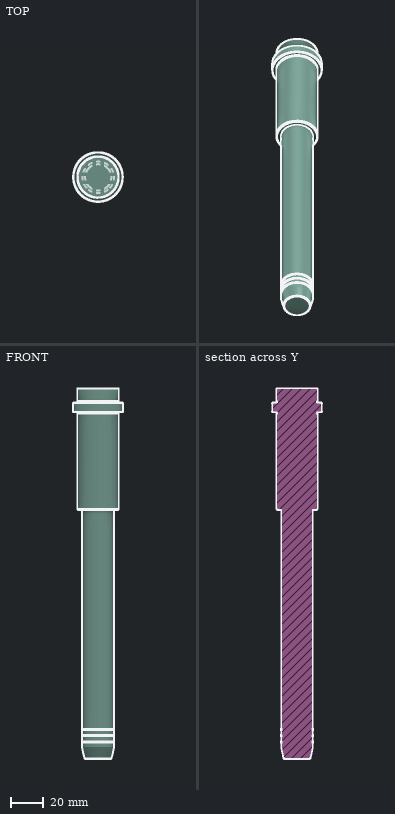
import cadquery as cq

total_length = 230.0
sleeve_bottom = 154.3
collar_bottom = 214.8
collar_top = 221.0

collar_radius = 15.52
sleeve_radius = 13.0
pin_radius = 10.0

collar_chamfer = 0.5
sleeve_chamfer = 0.7
head_chamfer = 0.5

neck_depth = 0.7
neck_width = 1.0

tip_radius = 8.3
tip_chamfer = 0.5
lead_height = 7.4
lead_bulge = 0.12

groove_depth = 0.5
groove_width = 1.0
groove_pitch = 4.0
first_groove_height = 10.1
groove_count = 3


def cylinder(radius, bottom, top):
    """Solid cylinder on the Z axis between two heights."""
    return cq.Workplane("XY").workplane(offset=bottom).circle(radius).extrude(top - bottom)


def ring_groove(radius, depth, bottom, width):
    """V-shaped ring to cut from a cylinder of the given radius."""
    profile = [(radius, bottom), (radius - depth, bottom + width / 2), (radius, bottom + width)]
    return cq.Workplane("XZ").polyline(profile).close().revolve(360, (0, 0), (0, 1))


def pin():
    """Straight pin with a bulged lead-in at its tip."""
    middle_radius = (tip_radius + pin_radius) / 2 + lead_bulge
    return (
        cq.Workplane("XZ")
        .moveTo(0, 0)
        .lineTo(tip_radius, 0)
        .threePointArc((middle_radius, lead_height / 2), (pin_radius, lead_height))
        .lineTo(pin_radius, sleeve_bottom)
        .lineTo(0, sleeve_bottom)
        .close()
        .revolve(360, (0, 0), (0, 1))
        .faces("<Z")
        .chamfer(tip_chamfer)
    )


sleeve = cylinder(sleeve_radius, sleeve_bottom, total_length)
sleeve = sleeve.faces("<Z").chamfer(sleeve_chamfer)
sleeve = sleeve.faces(">Z").chamfer(head_chamfer)
collar = cylinder(collar_radius, collar_bottom, collar_top).edges().chamfer(collar_chamfer)

result = pin().union(sleeve).union(collar)
for neck_bottom in (collar_bottom - neck_width, collar_top):
    result = result.cut(ring_groove(sleeve_radius, neck_depth, neck_bottom, neck_width))
for index in range(groove_count):
    groove_bottom = first_groove_height + index * groove_pitch
    result = result.cut(ring_groove(pin_radius, groove_depth, groove_bottom, groove_width))